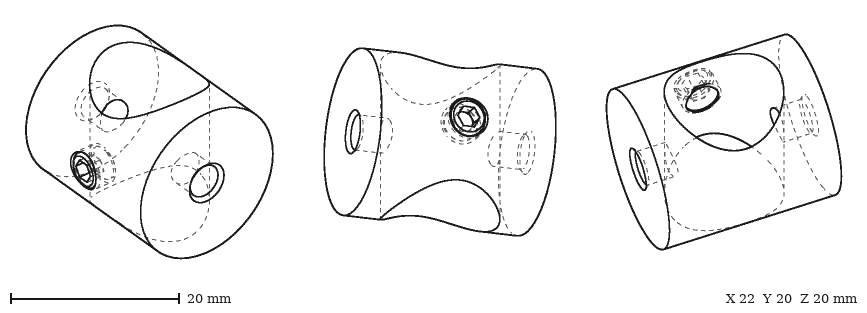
import cadquery as cq
import math

length = 22.0
outer_radius = 20.0 / 2
bore_radius = 14.2 / 2

thread_hole_radius = 4.2 / 2
end_chamfer = 0.5
seat_chamfer = 0.3

screw_radius = 5.0 / 2
screw_face_radius = 3.85 / 2
screw_chamfer = screw_radius - screw_face_radius
screw_face_y = -outer_radius
screw_length = 2.85

hex_across_flats = 2.42
hex_across_corners = hex_across_flats / math.cos(math.pi / 6)
hex_depth = 2.0
drill_radius = hex_across_flats / 2
drill_point_angle = 118.0
drill_point_depth = drill_radius / math.tan(math.radians(drill_point_angle / 2))


def make_screw_blank():
    """Screw without its socket; it also shapes the recess that holds the screw."""
    blank = cq.Workplane("XZ", origin=(0, screw_face_y, 0)).circle(screw_radius).extrude(-screw_length)
    return blank.faces("<Y").chamfer(screw_chamfer)


def make_screw():
    socket = (
        cq.Workplane("XZ", origin=(0, screw_face_y, 0))
        .polygon(6, hex_across_corners)
        .extrude(-hex_depth)
    )
    point_base = cq.Vector(0, screw_face_y + hex_depth, 0)
    drill_point = cq.Solid.makeCone(drill_radius, 0, drill_point_depth, point_base, cq.Vector(0, 1, 0))
    return make_screw_blank().cut(socket).cut(cq.Workplane(drill_point))


def make_housing():
    body = cq.Workplane("YZ").circle(outer_radius).extrude(length / 2, both=True)

    screw_hole = cq.Workplane("XZ").circle(thread_hole_radius).extrude(outer_radius)
    body = body.cut(screw_hole)
    body = body.edges(cq.selectors.NearestToPointSelector((0, -outer_radius, 0))).chamfer(seat_chamfer)

    axial_hole = cq.Workplane("YZ").circle(thread_hole_radius).extrude(length / 2, both=True)
    body = body.cut(axial_hole)
    end_rims = cq.selectors.RadiusNthSelector(0)
    body = body.faces("<X or >X").edges(end_rims).chamfer(end_chamfer)

    bore = cq.Workplane("XY").circle(bore_radius).extrude(outer_radius, both=True)
    body = body.cut(bore)

    return body.cut(make_screw_blank())


housing = make_housing()
screw = make_screw()

result = cq.Compound.makeCompound([housing.val(), screw.val()])